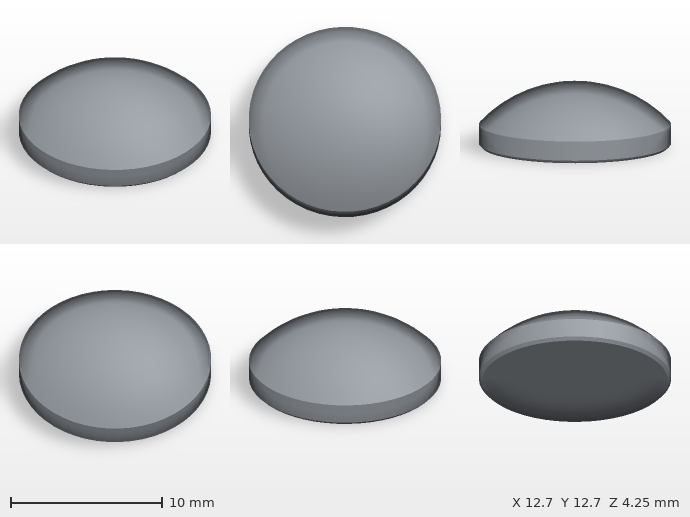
import cadquery as cq

diameter = 12.7
total_height = 4.25
rim_height = 1.49
base_chamfer = 0.2

radius = diameter / 2
dome_height = total_height - rim_height

sphere_radius = (radius**2 + dome_height**2) / (2 * dome_height)
sphere_center_z = total_height - sphere_radius

arc_mid_x = radius / 2
arc_mid_z = sphere_center_z + (sphere_radius**2 - arc_mid_x**2) ** 0.5

half_section = (
    cq.Workplane("XZ")
    .lineTo(radius - base_chamfer, 0)
    .lineTo(radius, base_chamfer)
    .lineTo(radius, rim_height)
    .threePointArc((arc_mid_x, arc_mid_z), (0, total_height))
    .close()
)

result = half_section.revolve(360, (0, 0), (0, 1))